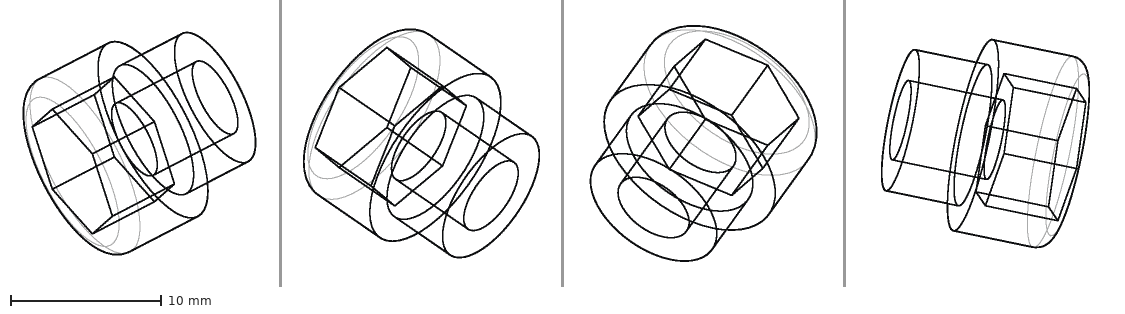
import cadquery as cq
import math

HEAD_DIAMETER = 13.0
HEAD_LENGTH = 6.5
HEAD_FILLET = 1.0
SHANK_DIAMETER = 9.6
SHANK_LENGTH = 5.0
BORE_DIAMETER = 5.4
HEX_ACROSS_FLATS = 8.2
HEX_DEPTH = 5.0

HEX_ACROSS_CORNERS = HEX_ACROSS_FLATS / math.cos(math.pi / 6)
TOTAL_LENGTH = HEAD_LENGTH + SHANK_LENGTH


def along_y(start):
    """Workplane facing +Y, at the given distance behind the head's front face."""
    return cq.Workplane(cq.Plane(origin=(0, start, 0), xDir=(1, 0, 0), normal=(0, 1, 0)))


def make_head():
    """Round head with its front rim (Y = 0) rounded over."""
    head = along_y(0).circle(HEAD_DIAMETER / 2).extrude(HEAD_LENGTH)
    return head.faces("<Y").edges().fillet(HEAD_FILLET)


def make_shank():
    """Narrower cylinder behind the head."""
    return along_y(HEAD_LENGTH).circle(SHANK_DIAMETER / 2).extrude(SHANK_LENGTH)


def make_hex_socket():
    """Blind hexagonal socket with two corners lying along X."""
    return along_y(0).polygon(6, HEX_ACROSS_CORNERS).extrude(HEX_DEPTH)


def make_bore():
    """Round hole through the full length."""
    return along_y(0).circle(BORE_DIAMETER / 2).extrude(TOTAL_LENGTH)


result = make_head().union(make_shank()).cut(make_hex_socket()).cut(make_bore())